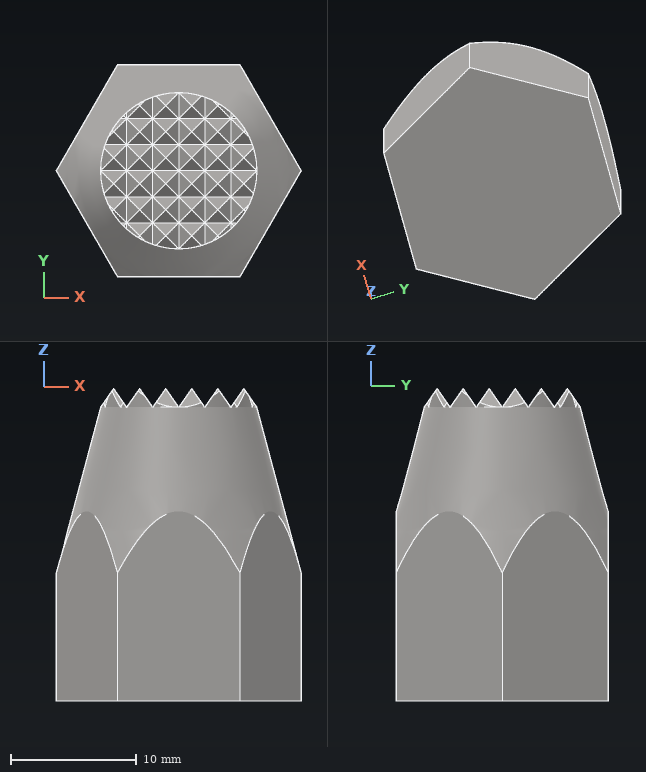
import cadquery as cq
import math

total_height = 25.0
hex_sides = 6
hex_corner_diameter = 19.6

nose_diameter = 12.5
cone_half_angle = 15.0

tooth_height = 1.5
teeth_per_row = 6
tooth_pitch = nose_diameter / teeth_per_row

face_height = total_height - tooth_height
tooth_root_height = face_height - tooth_height
nose_radius = nose_diameter / 2
cone_base_radius = nose_radius + face_height * math.tan(math.radians(cone_half_angle))


def make_body():
    """Hexagonal prism, corners along X, trimmed by the cone."""
    prism = cq.Workplane("XY").polygon(hex_sides, hex_corner_diameter).extrude(face_height)
    cone = cq.Workplane(cq.Solid.makeCone(cone_base_radius, nose_radius, face_height))
    return prism.intersect(cone)


def make_ridges():
    """Parallel triangular ridges along Y that cover the end face, joined by a root below it."""
    outline = [(-nose_radius, tooth_root_height), (-nose_radius, face_height)]
    for i in range(teeth_per_row):
        valley = -nose_radius + i * tooth_pitch
        outline.append((valley + tooth_pitch / 2, total_height))
        outline.append((valley + tooth_pitch, face_height))
    outline.append((nose_radius, tooth_root_height))
    return cq.Workplane("XZ").polyline(outline).close().extrude(nose_radius, both=True)


def make_teeth():
    """Pyramids where two crossed sets of ridges overlap, trimmed to the round end face."""
    ridges = make_ridges()
    crossed_ridges = ridges.rotate((0, 0, 0), (0, 0, 1), 90)
    round_limit = (
        cq.Workplane("XY")
        .workplane(offset=tooth_root_height)
        .circle(nose_radius)
        .extrude(total_height - tooth_root_height)
    )
    return ridges.intersect(crossed_ridges).intersect(round_limit)


result = make_body().union(make_teeth())